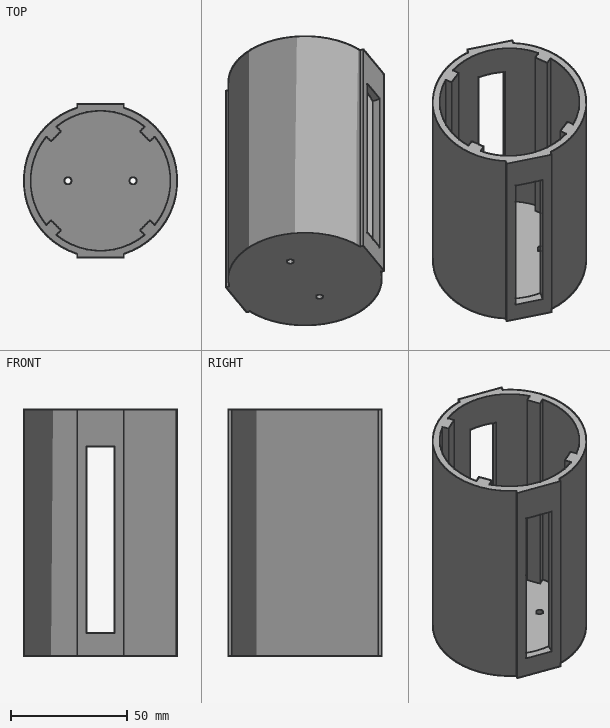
import cadquery as cq

height = 106.0
outer_diameter = 66.0
wall = 3.0
floor_thickness = 3.0
inner_radius = outer_diameter / 2 - wall

pad_width = 20.0

window_width = 12.0
window_height = 80.0
window_sill = 10.0

rib_width = 6.0
rib_face_radius = 27.0
rib_angles = (45, 135, 225, 315)

hole_diameter = 3.0
hole_spacing = 28.0


def make_body():
    """Solid cylinder with a full-height bar forming both flat pads."""
    cylinder = cq.Workplane("XY").circle(outer_diameter / 2).extrude(height)
    cylinder = cylinder.rotate((0, 0, 0), (0, 0, 1), 90)
    pads = cq.Workplane("XY").rect(pad_width, outer_diameter).extrude(height)
    return cylinder.union(pads)


def make_cavity():
    """Open-topped bore, notched where the ribs stand."""
    bore_height = height - floor_thickness
    cavity = cq.Workplane("XY").workplane(offset=floor_thickness).circle(inner_radius).extrude(bore_height)
    rib_depth = outer_diameter / 2 - rib_face_radius
    rib = (
        cq.Workplane("XY")
        .workplane(offset=floor_thickness)
        .center(rib_face_radius + rib_depth / 2, 0)
        .rect(rib_depth, rib_width)
        .extrude(bore_height)
    )
    for angle in rib_angles:
        cavity = cavity.cut(rib.rotate((0, 0, 0), (0, 0, 1), angle))
    return cavity


def make_window():
    """Rectangular opening running through both pads along Y."""
    return (
        cq.Workplane("XY")
        .workplane(offset=window_sill)
        .rect(window_width, outer_diameter)
        .extrude(window_height)
    )


def make_floor_holes():
    """Pair of round holes through the floor, spaced along X."""
    return (
        cq.Workplane("XY")
        .pushPoints([(-hole_spacing / 2, 0), (hole_spacing / 2, 0)])
        .circle(hole_diameter / 2)
        .extrude(floor_thickness)
    )


result = make_body().cut(make_cavity()).cut(make_window()).cut(make_floor_holes())